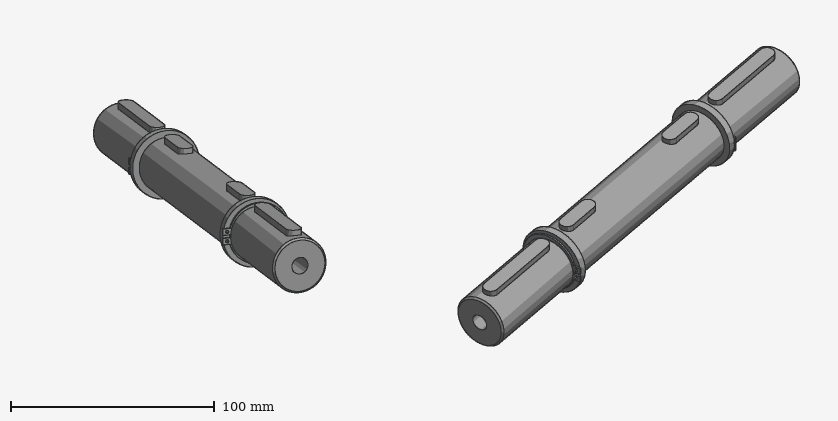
import cadquery as cq
import math

shaft_length = 247.0
shaft_radius = 14.0
end_chamfer = 1.0
centre_hole_radius = 4.2
centre_hole_depth = 19.8
drill_point_angle = 120.0

ring_radius = 17.5
ring_width = 4.0
ring_inner_x = 59.8

clip_thickness = 1.0
groove_width = 1.5
groove_radius = 13.3
clip_outer_radius = 15.5
clip_offset = 1.0
lug_reach = 17.8
lug_span = 8.2
clip_gap = 1.5
lug_hole_radius = 0.7

key_width = 8.0
key_height = 7.0
key_seat_z = 10.0
long_key_length = 50.0
short_key_length = 25.0
long_key_end_gap = 5.2
short_key_ring_gap = 4.7

ring_outer_x = ring_inner_x + ring_width
long_key_x = shaft_length / 2 - long_key_end_gap - long_key_length / 2
short_key_x = ring_inner_x - short_key_ring_gap - short_key_length / 2
SIDES = (-1, 1)
KEYS = [(side * x, length) for side in SIDES
        for x, length in ((long_key_x, long_key_length), (short_key_x, short_key_length))]


def x_disc(radius, x_start, width, y=0.0):
    """Disc of the given radius with its axis along X, starting at x_start."""
    return cq.Workplane("YZ", origin=(x_start, 0, 0)).center(y, 0).circle(radius).extrude(width)


def start_x(side, inner_x, width):
    """Lower X end of a slice that spans inner_x to inner_x + width on one side of the middle."""
    return inner_x if side > 0 else -inner_x - width


def make_key(x, length):
    """Round-ended feather key standing on its seat."""
    return (
        cq.Workplane("XY", origin=(x, 0, key_seat_z))
        .slot2D(length, key_width)
        .extrude(key_height)
    )


def make_centre_hole():
    """Blind drilled hole with a conical bottom, entering from the -X end."""
    entry_x = -shaft_length / 2
    floor_x = entry_x + centre_hole_depth
    tip_x = floor_x + centre_hole_radius / math.tan(math.radians(drill_point_angle / 2))
    return (
        cq.Workplane("XZ")
        .polyline([(entry_x, 0), (entry_x, centre_hole_radius), (floor_x, centre_hole_radius), (tip_x, 0)])
        .close()
        .revolve(360, (0, 0, 0), (1, 0, 0))
    )


def make_shaft():
    """Shaft with end chamfers, centre holes, clip grooves and key seats."""
    shaft = x_disc(shaft_radius, -shaft_length / 2, shaft_length).edges().chamfer(end_chamfer)
    hole = make_centre_hole()
    shaft = shaft.cut(hole).cut(hole.mirror("YZ"))
    for side in SIDES:
        groove_x = start_x(side, ring_outer_x, groove_width)
        groove = x_disc(ring_radius, groove_x, groove_width).cut(x_disc(groove_radius, groove_x, groove_width))
        shaft = shaft.cut(groove)
    for x, length in KEYS:
        shaft = shaft.cut(make_key(x, length))
    return shaft


def make_ring(side):
    """Plain spacer ring around the shaft."""
    x = start_x(side, ring_inner_x, ring_width)
    return x_disc(ring_radius, x, ring_width).cut(x_disc(shaft_radius, x, ring_width))


def make_clip(side):
    """Open retaining clip, thickest at +Y, with two pierced lugs beside its gap at -Y."""
    x = start_x(side, ring_outer_x, clip_thickness)
    plane = cq.Workplane("YZ", origin=(x, 0, 0))
    lug_length = lug_reach - groove_radius
    lug_y = -(lug_reach + groove_radius) / 2
    lugs = plane.center(lug_y, 0).rect(lug_length, lug_span).extrude(clip_thickness)
    gap = plane.center(-lug_reach / 2, 0).rect(lug_reach, clip_gap).extrude(clip_thickness)
    hole_z = (lug_span + clip_gap) / 4
    holes = (
        plane.pushPoints([(lug_y, -hole_z), (lug_y, hole_z)])
        .circle(lug_hole_radius)
        .extrude(clip_thickness)
    )
    clip = x_disc(clip_outer_radius, x, clip_thickness, clip_offset).union(lugs)
    return clip.cut(x_disc(groove_radius, x, clip_thickness)).cut(gap).cut(holes)


shaft = make_shaft()
keys = [make_key(x, length) for x, length in KEYS]
rings = [make_ring(side) for side in SIDES]
clips = [make_clip(side) for side in SIDES]

result = cq.Compound.makeCompound([body.val() for body in [shaft, *keys, *rings, *clips]])